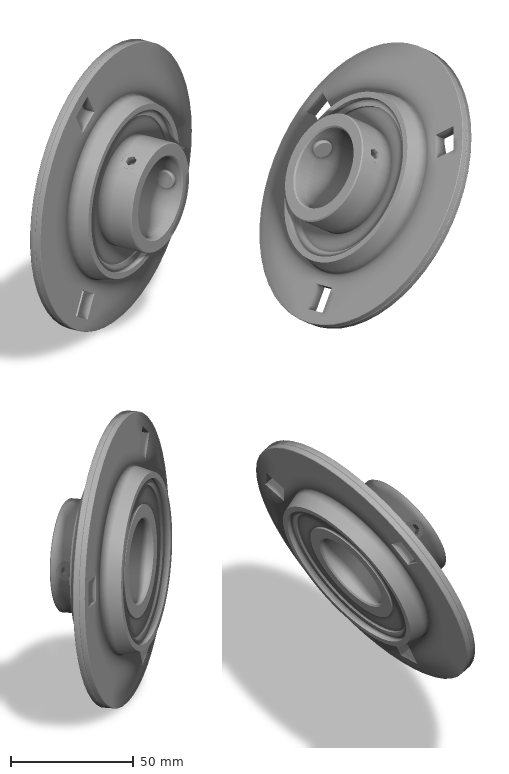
import cadquery as cq
import math

flange_radius = 61.0
plate_pair_thickness = 5.0
plate_thickness = plate_pair_thickness / 2
plate_edge_chamfer = 0.22
hub_half_width = 11.0
hub_root_radius = 39.0
hub_rim_radius = 36.8
hub_root_fillet = 0.5

bolt_hole_count = 3
bolt_circle_radius = 50.0
bolt_hole_side = 11.0

seat_radius = 35.4
outer_ring_half_width = 8.5
outer_ring_inner_radius = 31.5
seal_recess = 1.0
seal_half_width = outer_ring_half_width - seal_recess
inner_ring_radius = 23.4
inner_ring_front = -outer_ring_half_width
inner_ring_back = 23.5
bore_radius = 17.5
bore_chamfer = 0.6
rim_chamfer = 0.5

screw_x = 16.5
screw_angles = (0.0, 120.0)
screw_radius = 4.0
screw_outer_end = 23.2
screw_inner_end = 15.5
screw_tip_chamfer = 0.3
socket_across_flats = 4.0
socket_depth = 4.0


def revolve_about_x(profile):
    """Revolve a profile drawn with X along the axis and Y as the radius."""
    return profile.close().revolve(360, (0, 0, 0), (1, 0, 0))


def turn_about_x(body, angle):
    return body.rotate((0, 0, 0), (1, 0, 0), angle)


def seat_height(x):
    """Radius of the spherical seat at a distance x from the middle plane."""
    return math.sqrt(seat_radius**2 - x**2)


outer_ring_edge_radius = seat_height(outer_ring_half_width)


def bolt_hole(index):
    """Square prism through both plates, with one side facing the axis."""
    prism = cq.Workplane("XY").box(2 * plate_pair_thickness, bolt_hole_side, bolt_hole_side)
    prism = prism.translate((0, bolt_circle_radius, 0))
    return turn_about_x(prism, index * 360.0 / bolt_hole_count)


def make_flange(side):
    """Flange half on the -X side (side = -1) or on the +X side (side = 1)."""
    face_x = side * plate_thickness
    rim_x = side * hub_half_width
    seat_x = side * outer_ring_half_width
    seat_middle_x = seat_x / 2
    profile = (
        cq.Workplane("XY")
        .moveTo(0, seat_radius)
        .lineTo(0, flange_radius - plate_edge_chamfer)
        .lineTo(side * plate_edge_chamfer, flange_radius)
        .lineTo(face_x - side * plate_edge_chamfer, flange_radius)
        .lineTo(face_x, flange_radius - plate_edge_chamfer)
        .lineTo(face_x, hub_root_radius)
        .lineTo(rim_x, hub_rim_radius)
        .lineTo(rim_x, outer_ring_edge_radius)
        .lineTo(seat_x, outer_ring_edge_radius)
        .threePointArc((seat_middle_x, seat_height(seat_middle_x)), (0, seat_radius))
    )
    flange = revolve_about_x(profile)
    root_edge = cq.selectors.RadiusNthSelector(-3)
    flange = flange.edges("%CIRCLE").edges(root_edge).fillet(hub_root_fillet)
    for index in range(bolt_hole_count):
        flange = flange.cut(bolt_hole(index))
    return flange


def screw_cylinder(inner_end, outer_end):
    """Cylinder along +Y at the set-screw position."""
    plane = cq.Plane(origin=(screw_x, inner_end, 0), xDir=(1, 0, 0), normal=(0, 1, 0))
    return cq.Workplane(plane).circle(screw_radius).extrude(outer_end - inner_end)


def make_bearing():
    """Outer ring, recessed seals and extended inner ring as one revolved body."""
    profile = (
        cq.Workplane("XY")
        .moveTo(inner_ring_front, bore_radius + bore_chamfer)
        .lineTo(inner_ring_front, inner_ring_radius)
        .lineTo(-seal_half_width, inner_ring_radius)
        .lineTo(-seal_half_width, outer_ring_inner_radius)
        .lineTo(-outer_ring_half_width, outer_ring_inner_radius)
        .lineTo(-outer_ring_half_width, outer_ring_edge_radius)
        .threePointArc((0, seat_radius), (outer_ring_half_width, outer_ring_edge_radius))
        .lineTo(outer_ring_half_width, outer_ring_inner_radius)
        .lineTo(seal_half_width, outer_ring_inner_radius)
        .lineTo(seal_half_width, inner_ring_radius)
        .lineTo(inner_ring_back - rim_chamfer, inner_ring_radius)
        .lineTo(inner_ring_back, inner_ring_radius - rim_chamfer)
        .lineTo(inner_ring_back, bore_radius + bore_chamfer)
        .lineTo(inner_ring_back - bore_chamfer, bore_radius)
        .lineTo(inner_ring_front + bore_chamfer, bore_radius)
    )
    bearing = revolve_about_x(profile)
    for angle in screw_angles:
        screw_hole = screw_cylinder(0, 2 * inner_ring_radius)
        bearing = bearing.cut(turn_about_x(screw_hole, angle))
    return bearing


def make_set_screw(angle):
    """Headless screw with a hexagon socket in its outer end."""
    screw = screw_cylinder(screw_inner_end, screw_outer_end)
    screw = screw.faces("<Y").chamfer(screw_tip_chamfer)
    across_corners = socket_across_flats / math.cos(math.radians(30))
    plane = cq.Plane(origin=(screw_x, screw_outer_end, 0), xDir=(0, 0, 1), normal=(0, 1, 0))
    socket = cq.Workplane(plane).polygon(6, across_corners).extrude(-socket_depth)
    return turn_about_x(screw.cut(socket), angle)


flanges = [make_flange(side) for side in (-1, 1)]
bearing = make_bearing()
set_screws = [make_set_screw(angle) for angle in screw_angles]

result = cq.Compound.makeCompound(
    [bearing.val()] + [flange.val() for flange in flanges] + [screw.val() for screw in set_screws]
)